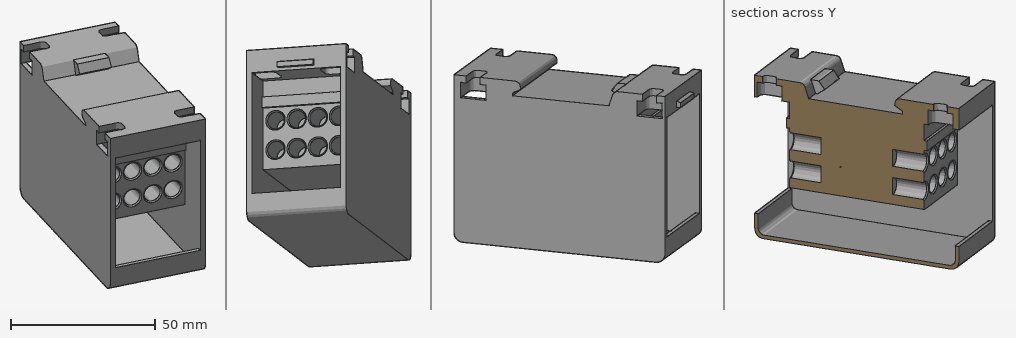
import cadquery as cq
import math


overall_length = 79.6
tab_reach = 1.5
length = overall_length - tab_reach
width = 36.0
height = 60.0
bottom_radius = 3.35

side_wall = 2.0
end_wall = 1.5
floor_thickness = 1.5
ceiling_depth = 8.05
sill_depth = 51.0
cavity_corner_radius = 2.2
cavity_width = width - 2 * side_wall

rail_depth = 5.4
ramp_top_x = 18.9
ramp_foot_x = 20.8
hook_nose_x = 53.5
hook_root_x = 56.45
hook_radius = 2.1
hook_straight_end = 2.9
hook_root_depth = 4.5
ramp_radius = 2.1

latch_width = 12.0
latch_start_x = 18.5
latch_top_depth = 0.55
latch_flat_end_x = 21.3
latch_shoulder_x = 22.05
latch_shoulder_depth = 0.6
latch_tip_x = 24.3
latch_tip_depth = 3.4
latch_root_x = 21.5

slot_centers_x = (5.7, 70.9)
neck_width = 5.2
neck_length = 8.05
neck_radius = 1.6
neck_depth = 2.55
head_margin = 2.1

block_inset = 13.3
block_bottom_depth = 39.6
band_reach = 1.1
band_top_depth = 13.9
band_bottom_depth = 17.7

hole_columns = 4
hole_pitch = 7.65
hole_row_depths = (22.3, 32.7)
hole_diameter = 6.05
hole_rim_diameter = 7.0
hole_rim = (hole_rim_diameter - hole_diameter) / 2
hole_length = 11.95

tab_width = 13.0
tab_top_depth = 4.7
tab_tip_depth = 5.2
tab_bottom_depth = 6.9


def box(x_start, x_end, y_size, z_bottom, z_top):
    """Box centred on Y = 0 between the given X and Z limits."""
    return (
        cq.Workplane("XY", origin=((x_start + x_end) / 2, 0, z_bottom))
        .rect(x_end - x_start, y_size)
        .extrude(z_top - z_bottom)
    )


def extrude_profile(profile, y_size):
    """Extrude a closed XZ profile evenly to both sides of Y = 0."""
    return profile.close().extrude(y_size / 2, both=True)


def make_shell():
    outer = box(0, length, width, -height, 0)
    outer = outer.faces("<Z").edges("|Y").fillet(bottom_radius)
    cavity = box(end_wall, length - end_wall, cavity_width, floor_thickness - height, -ceiling_depth)
    cavity = cavity.faces("<Z").edges("|Y").fillet(cavity_corner_radius)
    openings = box(0, length, cavity_width, -sill_depth, -ceiling_depth)
    return outer.cut(cavity).cut(openings)


def make_rail_channel():
    ramp_angle = math.atan2(rail_depth, ramp_foot_x - ramp_top_x)
    tangent = ramp_radius * math.tan(ramp_angle / 2)
    arc_start_x = ramp_top_x - tangent
    arc_end = (ramp_top_x + tangent * math.cos(ramp_angle), -tangent * math.sin(ramp_angle))
    arc_middle = (
        arc_start_x + ramp_radius * math.sin(ramp_angle / 2),
        ramp_radius * (math.cos(ramp_angle / 2) - 1),
    )
    hook_offset = hook_radius * (1 - math.sqrt(0.5))
    profile = (
        cq.Workplane("XZ")
        .moveTo(arc_start_x, 0)
        .threePointArc(arc_middle, arc_end)
        .lineTo(ramp_foot_x, -rail_depth)
        .lineTo(hook_root_x, -rail_depth)
        .lineTo(hook_root_x, -hook_root_depth)
        .lineTo(hook_nose_x, -hook_straight_end)
        .lineTo(hook_nose_x, -hook_radius)
        .threePointArc((hook_nose_x + hook_offset, -hook_offset), (hook_nose_x + hook_radius, 0))
    )
    return extrude_profile(profile, width)


def make_latch():
    profile = (
        cq.Workplane("XZ")
        .moveTo(latch_start_x, -latch_top_depth)
        .lineTo(latch_flat_end_x, -latch_top_depth)
        .lineTo(latch_shoulder_x, -latch_shoulder_depth)
        .lineTo(latch_tip_x, -latch_tip_depth)
        .lineTo(latch_root_x, -rail_depth)
        .lineTo(latch_start_x, -rail_depth)
    )
    return extrude_profile(profile, latch_width)


def make_slot_layer(center_x, slot_width, slot_length, radius, z_bottom, z_top):
    """Slot running in from the -Y side with its two inner corners rounded."""
    return (
        cq.Workplane("XY", origin=(center_x, (slot_length - width) / 2, z_bottom))
        .rect(slot_width, slot_length)
        .extrude(z_top - z_bottom)
        .edges("|Z and >Y")
        .fillet(radius)
    )


def make_t_slot(center_x):
    neck = make_slot_layer(center_x, neck_width, neck_length, neck_radius, -neck_depth, 0)
    head = make_slot_layer(
        center_x,
        neck_width + 2 * head_margin,
        neck_length + head_margin,
        head_margin,
        -ceiling_depth,
        -neck_depth,
    )
    return neck.union(head)


def make_terminal_hole(y, z):
    """Blind hole with a countersunk rim, entering the block from the -X end."""
    profile = (
        cq.Workplane("XY")
        .lineTo(0, hole_rim_diameter / 2)
        .lineTo(hole_rim, hole_diameter / 2)
        .lineTo(hole_length, hole_diameter / 2)
        .lineTo(hole_length, 0)
        .close()
    )
    return profile.revolve(360, (0, 0, 0), (1, 0, 0)).translate((block_inset, y, z))


def make_terminal_block():
    block = box(block_inset, length - block_inset, cavity_width, -block_bottom_depth, -ceiling_depth)
    band_start = block_inset - band_reach
    band = box(band_start, length - band_start, cavity_width, -band_bottom_depth, -band_top_depth)
    block = block.union(band)
    for column in range(hole_columns):
        y = (column - (hole_columns - 1) / 2) * hole_pitch
        for row_depth in hole_row_depths:
            hole = make_terminal_hole(y, -row_depth)
            opposite_hole = hole.mirror("YZ", (length / 2, 0, 0))
            block = block.cut(hole).cut(opposite_hole)
    return block


def make_tab():
    profile = (
        cq.Workplane("XZ")
        .moveTo(end_wall, -tab_top_depth)
        .lineTo(0, -tab_top_depth)
        .lineTo(-tab_reach, -tab_tip_depth)
        .lineTo(-tab_reach, -tab_bottom_depth)
        .lineTo(end_wall, -tab_bottom_depth)
    )
    return extrude_profile(profile, tab_width)


housing = make_shell().cut(make_rail_channel())
for slot_x in slot_centers_x:
    t_slot = make_t_slot(slot_x)
    housing = housing.cut(t_slot).cut(t_slot.mirror("XZ"))

result = housing.union(make_terminal_block()).union(make_latch()).union(make_tab())